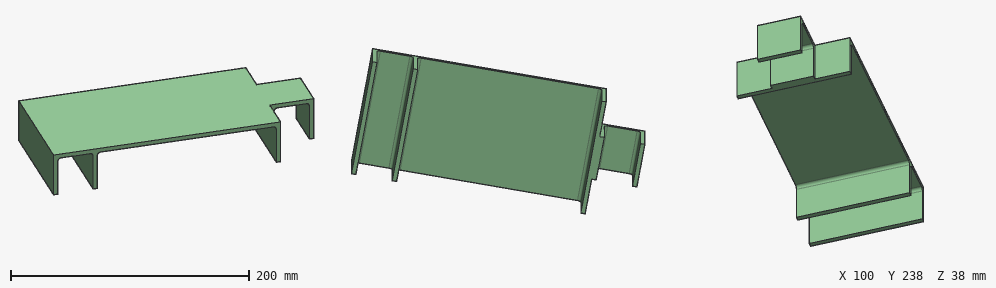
import cadquery as cq

length = 238.0
width = 100.0
height = 38.0
wall = 3.8
tongue_width = 38.0
end_gap = 31.0
fillet_radius = 2.9

tongue_length = end_gap + 2 * wall
body_length = length - tongue_length
rib_front = wall + end_gap
rib_back = rib_front + wall


def block(x_size, y_start, y_end):
    """Full-height block centred on X."""
    return cq.Workplane("XY").box(
        x_size, y_end - y_start, height, centered=(True, False, False)
    ).translate((0, y_start, 0))


def channel(y_start, y_end):
    """Cutter for a channel open below and at both sides, with rounded top corners."""
    cutter = cq.Workplane("XY").box(
        width, y_end - y_start, height - wall, centered=(True, False, False)
    )
    return cutter.edges("|X and >Z").fillet(fillet_radius).translate((0, y_start, 0))


result = block(width, 0, body_length).union(block(tongue_width, body_length, length))

channel_spans = [
    (wall, rib_front),
    (rib_back, body_length - wall),
    (body_length + wall, length - wall),
]
for y_start, y_end in channel_spans:
    result = result.cut(channel(y_start, y_end))